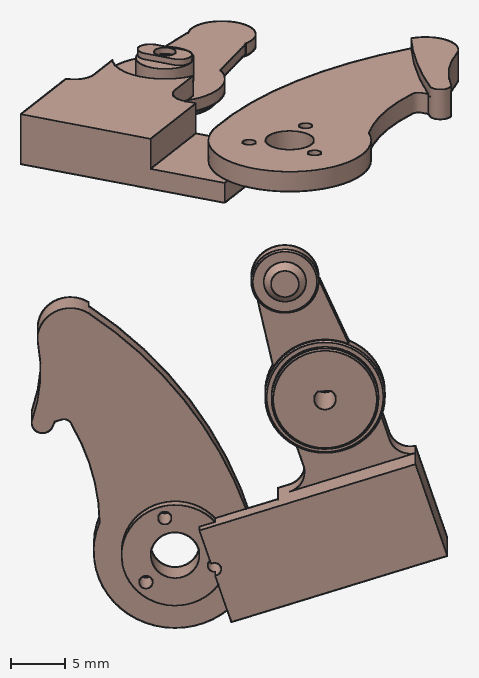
import cadquery as cq
import math

BLOCK_LENGTH = 13.4
LEDGE_END = 21.02
BASE_DEPTH = 9.5
BASE_TOP = 5.02
LEDGE_TOP = 2

NECK_LEFT = 1.87
NECK_RIGHT = 10.25
NECK_FILLET = 2
NECK_RECESS_DIAMETER = 9.7

HUB_X = 6.1
HUB_Y = 17.8
HUB_DIAMETER = 11.1
TIP_Y = 29.75
TIP_DIAMETER = 6.25
ARM_HUB_HALF_WIDTH = 3.68
ARM_TIP_HALF_WIDTH = 3
ARM_TIP_Y = 28.7
LEVER_TOP = 3
ARM_BOTTOM = 2
DISC_BOTTOM = 1.65
DISC_CHAMFER = 0.17
PAD_DIAMETER = 9.9
PAD_BOTTOM = 1.05
PAD_CHAMFER = 0.17
CONE_TOP_DIAMETER = 3.9
CONE_BOTTOM_DIAMETER = 2.58

POST_DIAMETER = 5.35
POST_TOP = 5.12
TONGUE_WIDTH = 2.35
TONGUE_TOP = 5.72
POST_HOLE_DIAMETER = 2
BORE_FLAT_OFFSET = 0.8
BORE_FLAT_ANGLE = 14

CAM_X = 24.03
CAM_RADIUS = 7.53
CAM_Y = CAM_RADIUS
CAM_TOP = 4
CAM_BOSS_DIAMETER = 9.9
CAM_BOSS_BOTTOM = 1
CAM_BORE_DIAMETER = 4.5
BOLT_HOLE_DIAMETER = 1.25
BOLT_CIRCLE_RADIUS = 3.78
BOLT_START_ANGLE = 93.5
BOLT_COUNT = 3
HEAD_X = 26.75
HEAD_RADIUS = 3.05
HEAD_Y = 33.47 - HEAD_RADIUS
BEAK_TIP_RADIUS = 1
BEAK_TIP_X = 32.77 - BEAK_TIP_RADIUS
BEAK_TIP_Y = 23.35
BACK_MIDPOINT = (19.18, 23.03)
THROAT_MIDPOINT = (28.9, 18.95)
THROAT_END = (29.25, 22.32)
NOTCH_MIDPOINT = (29.45, 22.9)
NOTCH_TOP = (29.9, 23.13)
BEAK_INNER_MIDPOINT = (27.75, 26.8)
BEAK_OUTER_MIDPOINT = (30.6, 27.58)


def on_circle(center_x, center_y, radius, degrees):
    """Point on a circle at an angle measured counterclockwise from +X."""
    angle = math.radians(degrees)
    return (center_x + radius * math.cos(angle), center_y + radius * math.sin(angle))


def cylinder(x, y, diameter, bottom, top):
    return cq.Workplane("XY", origin=(x, y, bottom)).circle(diameter / 2).extrude(top - bottom)


def box(x_min, x_max, y_min, y_max, bottom, top):
    size = (x_max - x_min, y_max - y_min, top - bottom)
    return cq.Workplane("XY", origin=(x_min, y_min, bottom)).box(*size, centered=False)


def make_base():
    block = box(0, BLOCK_LENGTH, 0, BASE_DEPTH, 0, BASE_TOP)
    ledge = box(0, LEDGE_END, 0, BASE_DEPTH, 0, LEDGE_TOP)
    neck = (
        cq.Workplane("XY", origin=(0, 0, LEVER_TOP))
        .moveTo(NECK_LEFT - NECK_FILLET, BASE_DEPTH)
        .radiusArc((NECK_LEFT, BASE_DEPTH + NECK_FILLET), -NECK_FILLET)
        .lineTo(NECK_LEFT, HUB_Y)
        .lineTo(NECK_RIGHT, HUB_Y)
        .lineTo(NECK_RIGHT, BASE_DEPTH + NECK_FILLET)
        .radiusArc((NECK_RIGHT + NECK_FILLET, BASE_DEPTH), -NECK_FILLET)
        .close()
        .extrude(BASE_TOP - LEVER_TOP)
    )
    recess = cylinder(HUB_X, HUB_Y, NECK_RECESS_DIAMETER, LEVER_TOP, BASE_TOP)
    overhang = box(NECK_LEFT - NECK_FILLET, 0, BASE_DEPTH, HUB_Y, LEVER_TOP, BASE_TOP)
    return block.union(ledge).union(neck.cut(recess).cut(overhang))


def make_lever():
    hub = cylinder(HUB_X, HUB_Y, HUB_DIAMETER, DISC_BOTTOM, LEVER_TOP).faces("<Z").chamfer(DISC_CHAMFER)
    tip = cylinder(HUB_X, TIP_Y, TIP_DIAMETER, DISC_BOTTOM, LEVER_TOP).faces("<Z").chamfer(DISC_CHAMFER)
    arm_hub_y = HUB_Y + math.sqrt((HUB_DIAMETER / 2) ** 2 - ARM_HUB_HALF_WIDTH**2)
    arm = (
        cq.Workplane("XY", origin=(HUB_X, 0, ARM_BOTTOM))
        .polyline([
            (-ARM_HUB_HALF_WIDTH, HUB_Y),
            (ARM_HUB_HALF_WIDTH, HUB_Y),
            (ARM_HUB_HALF_WIDTH, arm_hub_y),
            (ARM_TIP_HALF_WIDTH, ARM_TIP_Y),
            (-ARM_TIP_HALF_WIDTH, ARM_TIP_Y),
            (-ARM_HUB_HALF_WIDTH, arm_hub_y),
        ])
        .close()
        .extrude(LEVER_TOP - ARM_BOTTOM)
    )
    pad = cylinder(HUB_X, HUB_Y, PAD_DIAMETER, PAD_BOTTOM, DISC_BOTTOM).faces("<Z").chamfer(PAD_CHAMFER)
    cone = (
        cq.Workplane("XY", origin=(HUB_X, TIP_Y, PAD_BOTTOM))
        .circle(CONE_BOTTOM_DIAMETER / 2)
        .workplane(offset=DISC_BOTTOM - PAD_BOTTOM)
        .circle(CONE_TOP_DIAMETER / 2)
        .loft()
    )
    post = cylinder(HUB_X, HUB_Y, POST_DIAMETER, LEVER_TOP, POST_TOP)
    tongue = (
        cq.Workplane("XY", origin=(HUB_X, HUB_Y, POST_TOP))
        .slot2D(POST_DIAMETER, TONGUE_WIDTH)
        .extrude(TONGUE_TOP - POST_TOP)
    )
    hole = cylinder(HUB_X, HUB_Y, POST_HOLE_DIAMETER, PAD_BOTTOM, TONGUE_TOP)
    flat = (
        box(-POST_DIAMETER, POST_DIAMETER, BORE_FLAT_OFFSET, POST_DIAMETER, PAD_BOTTOM, POST_TOP)
        .rotate((0, 0, 0), (0, 0, 1), BORE_FLAT_ANGLE)
        .translate((HUB_X, HUB_Y, 0))
    )
    hole = hole.cut(flat)
    return hub.union(tip).union(arm).union(pad).union(cone).union(post).union(tongue).cut(hole)


def make_cam():
    back_start = (CAM_X - CAM_RADIUS, CAM_Y)
    throat_start = on_circle(CAM_X, CAM_Y, CAM_RADIUS, 40)
    head_start = on_circle(HEAD_X, HEAD_Y, HEAD_RADIUS, 142)
    head_top = on_circle(HEAD_X, HEAD_Y, HEAD_RADIUS, 90)
    head_end = on_circle(HEAD_X, HEAD_Y, HEAD_RADIUS, 8)
    beak_inner = on_circle(BEAK_TIP_X, BEAK_TIP_Y, BEAK_TIP_RADIUS, 225)
    beak_end = on_circle(BEAK_TIP_X, BEAK_TIP_Y, BEAK_TIP_RADIUS, -45)
    beak_outer = on_circle(BEAK_TIP_X, BEAK_TIP_Y, BEAK_TIP_RADIUS, 40)
    plate = (
        cq.Workplane("XY", origin=(0, 0, LEDGE_TOP))
        .moveTo(*back_start)
        .threePointArc(BACK_MIDPOINT, head_start)
        .lineTo(*BEAK_INNER_MIDPOINT)
        .lineTo(*NOTCH_TOP)
        .threePointArc(NOTCH_MIDPOINT, THROAT_END)
        .threePointArc(THROAT_MIDPOINT, throat_start)
        .threePointArc((CAM_X, 0), back_start)
        .close()
        .extrude(CAM_TOP - LEDGE_TOP)
    )
    beak = (
        cq.Workplane("XY", origin=(0, 0, LEDGE_TOP))
        .moveTo(*head_start)
        .threePointArc(head_top, head_end)
        .threePointArc(BEAK_OUTER_MIDPOINT, beak_outer)
        .threePointArc(beak_end, beak_inner)
        .threePointArc(BEAK_INNER_MIDPOINT, head_start)
        .close()
        .extrude(BASE_TOP - LEDGE_TOP)
    )
    notch_web = (
        cq.Workplane("XY", origin=(0, 0, LEDGE_TOP))
        .polyline([BEAK_INNER_MIDPOINT, NOTCH_TOP, (BEAK_TIP_X, NOTCH_TOP[1])])
        .close()
        .extrude(CAM_TOP - LEDGE_TOP)
    )
    tip_root = cylinder(BEAK_TIP_X, BEAK_TIP_Y, 2 * BEAK_TIP_RADIUS, LEDGE_TOP, CAM_TOP)
    return plate.union(beak).union(notch_web).union(tip_root)


def cut_cam_holes(body):
    body = body.cut(cylinder(CAM_X, CAM_Y, CAM_BORE_DIAMETER, 0, CAM_TOP))
    for index in range(BOLT_COUNT):
        angle = BOLT_START_ANGLE + index * 360 / BOLT_COUNT
        x, y = on_circle(CAM_X, CAM_Y, BOLT_CIRCLE_RADIUS, angle)
        body = body.cut(cylinder(x, y, BOLT_HOLE_DIAMETER, 0, CAM_TOP))
    return body


cam_boss = cylinder(CAM_X, CAM_Y, CAM_BOSS_DIAMETER, CAM_BOSS_BOTTOM, LEDGE_TOP)
result = cut_cam_holes(make_base().union(make_lever()).union(make_cam()).union(cam_boss))